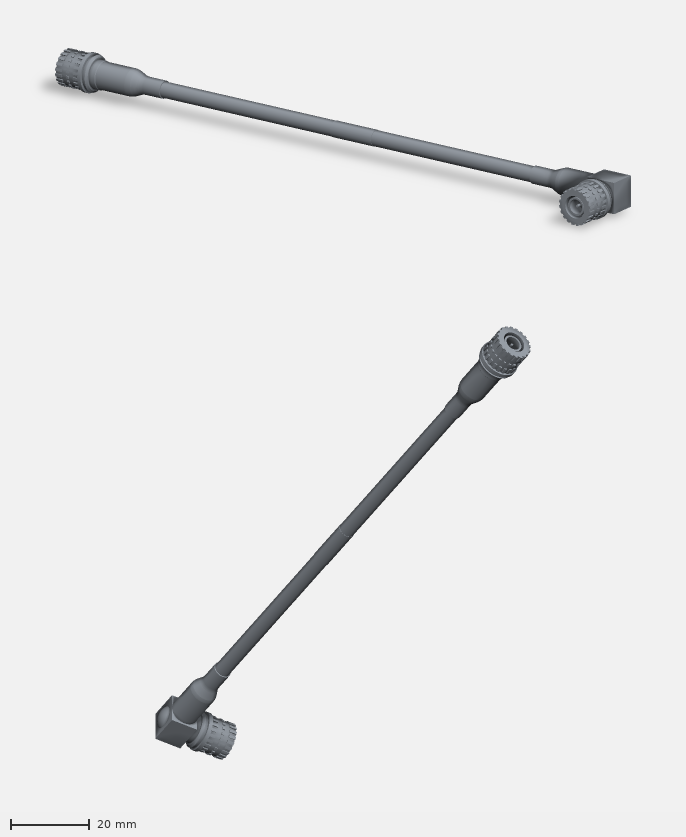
import cadquery as cq
import math


barrel_radius = 4.5
ring_radius = 5.2
tooth_radius = 4.9
neck_radius = 3.8
tooth_count = 20
tooth_bands = [(0, 2.0), (3.3, 4.0), (5.5, 7.2)]
ring_start = 7.2
ring_end = 8.2
flange_start = 9.1
flange_thickness = 0.7
flange_chamfer = 0.5
head_length = 11.4

recess_radius = 3.0
recess_depth = 5.2
contact_tube_radius = 2.5
contact_tube_setback = 0.5
contact_bore_radius = 2.0
contact_bore_depth = 4.4
pin_radius = 0.3
pin_setback = 1.0

straight_plug_length = 11.7
neck_chamfer = 0.2

elbow_x = 169.7
elbow_width = 8.4
elbow_depth = 7.3
dome_radius = 3.0
dome_height = 1.2

cable_radius = 2.1
marker_thickness = 0.09
marker_start = 84.0
marker_length = 12.8

boot_length = 19.0
boot_radius = 3.7
sleeve_thickness = 0.26
sleeve_length = 6.1
taper_length = 3.1
left_blend_radius = 4.0
right_blend_radius = 2.8

sleeve_radius = cable_radius + sleeve_thickness
elbow_left = elbow_x - elbow_width / 2
elbow_front = -elbow_depth / 2
cable_start = straight_plug_length
cable_end = elbow_left


def cylinder(radius, start, end):
    """Cylinder on the local Z axis between two heights."""
    return cq.Workplane("XY").workplane(offset=start).circle(radius).extrude(end - start)


def tube(outer_radius, inner_radius, start, end):
    """Ring on the local Z axis between two heights."""
    return cylinder(outer_radius, start, end).cut(cylinder(inner_radius, start, end))


def tooth_band(start, end):
    """Ring of teeth around the barrel, as wide as the straight notches between them."""
    notch_width = math.pi * tooth_radius / tooth_count
    notch_length = 4 * (tooth_radius - barrel_radius)
    notches = (
        cq.Workplane("XY")
        .workplane(offset=start)
        .polarArray(tooth_radius, 0, 360, tooth_count)
        .rect(notch_length, notch_width)
        .extrude(end - start)
    )
    return tube(tooth_radius, barrel_radius, start, end).cut(notches)


def mating_recess():
    """Open end of the head, less the contact tube and pin that stand inside it."""
    contact_tube = tube(contact_tube_radius, contact_bore_radius, contact_tube_setback, recess_depth)
    contact_floor = cylinder(contact_bore_radius, contact_bore_depth, recess_depth)
    pin = cylinder(pin_radius, pin_setback, recess_depth)
    return cylinder(recess_radius, 0, recess_depth).cut(contact_tube).cut(contact_floor).cut(pin)


def plug_head(length):
    """Knurled plug on the local Z axis with its mating face at Z = 0."""
    head = cylinder(barrel_radius, 0, flange_start)
    for start, end in tooth_bands:
        head = head.union(tooth_band(start, end))
    head = head.union(cylinder(ring_radius, ring_start, ring_end))
    flange_end = flange_start + flange_thickness
    flange = cylinder(tooth_radius, flange_start, flange_end)
    head = head.union(flange.faces(">Z").chamfer(flange_chamfer))
    head = head.union(cylinder(neck_radius, flange_end, length))
    return head.cut(mating_recess())


def straight_plug():
    """Plug facing -X, with a chamfered neck against the left boot."""
    plug = plug_head(straight_plug_length).faces(">Z").chamfer(neck_chamfer)
    return plug.rotate((0, 0, 0), (0, 1, 0), 90)


def right_angle_plug():
    """Square elbow with a plug facing -Y and a domed cap on its back."""
    elbow = cq.Workplane("XY").box(elbow_width, elbow_depth, elbow_width)
    head = plug_head(head_length).rotate((0, 0, 0), (1, 0, 0), -90)
    head = head.translate((0, elbow_front - head_length, 0))
    elbow_back = -elbow_front
    sphere_radius = (dome_radius**2 + dome_height**2) / (2 * dome_height)
    cap_top = elbow_back + dome_height
    dome = (
        cq.Workplane("XY")
        .moveTo(0, elbow_back)
        .lineTo(dome_radius, elbow_back)
        .radiusArc((0, cap_top), -sphere_radius)
        .close()
        .revolve(360, (0, 0, 0), (0, 1, 0))
    )
    return elbow.union(head).union(dome).translate((elbow_x, 0, 0))


def cable():
    """Round cable between the two plugs, with the marker band as part of it."""
    core = cylinder(cable_radius, cable_start, cable_end)
    marker = cylinder(cable_radius + marker_thickness, marker_start, marker_start + marker_length)
    return core.union(marker).rotate((0, 0, 0), (0, 1, 0), 90)


def boot(blend_radius):
    """Sleeve along +X from the origin, bored for the cable, that widens through a blended cone."""
    rise = boot_radius - sleeve_radius
    angle = math.atan2(rise, taper_length)
    tangent = blend_radius * math.tan(angle / 2)
    along = tangent * math.cos(angle)
    up = tangent * math.sin(angle)
    cone_start = sleeve_length
    cone_end = sleeve_length + taper_length
    return (
        cq.Workplane("XY")
        .moveTo(0, cable_radius)
        .lineTo(0, sleeve_radius)
        .lineTo(cone_start - tangent, sleeve_radius)
        .radiusArc((cone_start + along, sleeve_radius + up), -blend_radius)
        .lineTo(cone_end - along, boot_radius - up)
        .radiusArc((cone_end + tangent, boot_radius), blend_radius)
        .lineTo(boot_length, boot_radius)
        .lineTo(boot_length, cable_radius)
        .close()
        .revolve(360, (0, 0, 0), (1, 0, 0))
    )


left_plug = straight_plug()
right_plug = right_angle_plug()
cable_core = cable()
left_boot = boot(left_blend_radius).mirror("YZ").translate((cable_start + boot_length, 0, 0))
right_boot = boot(right_blend_radius).translate((cable_end - boot_length, 0, 0))

result = cq.Compound.makeCompound(
    [left_plug.val(), right_plug.val(), cable_core.val(), left_boot.val(), right_boot.val()]
)